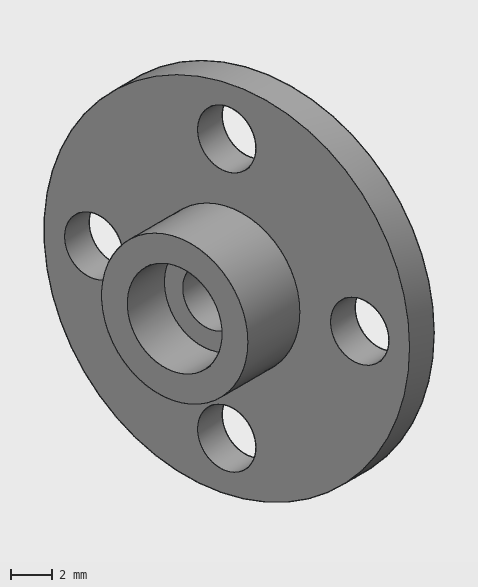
import cadquery as cq

flange_diameter = 22.0
flange_thickness = 2.0

hub_diameter = 8.8
hub_height = 4.2

pocket_diameter = 5.7
pocket_depth = 3.0
center_hole_diameter = 3.5

mounting_hole_diameter = 3.5
mounting_hole_count = 4
mounting_circle_radius = 8.0

overall_length = flange_thickness + hub_height


def cylinder(diameter, start, length):
    """Cylinder on the part axis; start is measured from the flange's back face."""
    return cq.Workplane("XZ").workplane(offset=start).circle(diameter / 2).extrude(length)


def make_body():
    flange = cylinder(flange_diameter, 0, flange_thickness)
    hub = cylinder(hub_diameter, flange_thickness, hub_height)
    return flange.union(hub)


def cut_stepped_bore(body):
    center_hole = cylinder(center_hole_diameter, 0, overall_length)
    pocket = cylinder(pocket_diameter, overall_length - pocket_depth, pocket_depth)
    return body.cut(center_hole).cut(pocket)


def cut_mounting_holes(body):
    holes = (
        cq.Workplane("XZ")
        .polarArray(mounting_circle_radius, 0, 360, mounting_hole_count)
        .circle(mounting_hole_diameter / 2)
        .extrude(flange_thickness)
    )
    return body.cut(holes)


result = cut_mounting_holes(cut_stepped_bore(make_body()))